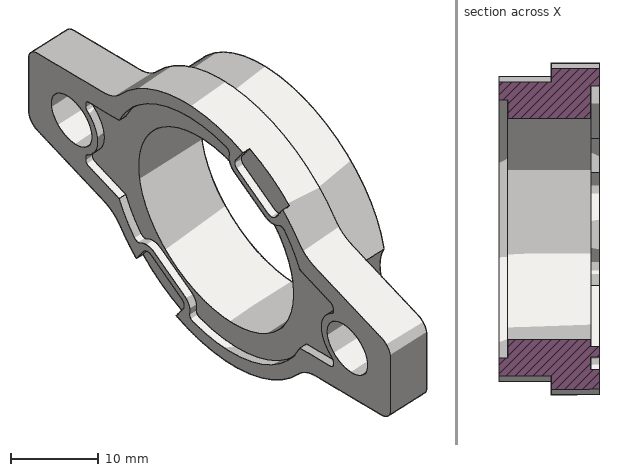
import cadquery as cq
import math

length = 63.0
height = 38.0
flange_radius = height / 2
flange_thickness = 5.55
boss_radius = 17.5
boss_height = 6.0
bore_radius = 13.5
counterbore_radius = 15.5
counterbore_depth = 1.0
total_depth = flange_thickness + boss_height

lug_end_half_height = 6.05
lug_taper = math.radians(12.6)
lug_corner_radius = 2.0
neck_radius = 5.0
bolt_offset = 24.0
bolt_hole_radius = 3.5
bolt_head_clearance_radius = 7.5

recess_depth = 1.0
recess_radius = 17.0
recess_end = 21.55
lug_rim = 3.0
bolt_rim_radius = 4.55
recess_corner_radius = 0.7

notch_tilt = 30.0
notch_width = 8.0
notch_floor = 15.0
notch_depth = 1.0
notch_corner_radius = 1.0
notch_wall = 1.0
notch_shoulder_radius = 0.75


def extrude_back(sketch, depth, start=0.0):
    """Extrude an XZ sketch toward +Y from y = start."""
    return cq.Workplane("XZ", origin=(0, start, 0)).placeSketch(sketch).extrude(-depth)


def disc(radius, depth, start=0.0, x=0.0):
    return extrude_back(cq.Sketch().push([(x, 0)]).circle(radius), depth, start)


def lug_band(half_length, inset, depth):
    """Six-sided bar, tallest at x = 0, tapering to both ends."""
    middle = lug_end_half_height + length / 2 * math.tan(lug_taper) - inset / math.cos(lug_taper)
    end = middle - half_length * math.tan(lug_taper)
    points = [
        (-half_length, -end), (0, -middle), (half_length, -end),
        (half_length, end), (0, middle), (-half_length, end),
    ]
    return cq.Workplane("XZ").polyline(points).close().extrude(-depth)


def notch_block(width, floor, corner_radius, depth):
    """Round-cornered block reaching from the notch floor past the rim, at both notches."""
    block_height = flange_radius
    block = (
        cq.Workplane("XY")
        .box(width, depth, block_height, centered=(True, False, False))
        .translate((0, 0, floor))
        .edges("|Y and <Z")
        .fillet(corner_radius)
        .rotate((0, 0, 0), (0, 1, 0), notch_tilt)
    )
    return block.union(block.rotate((0, 0, 0), (0, 1, 0), 180))


def edges_at_radius(body, radius):
    """Corner edges parallel to Y at the given distance from the bore axis."""
    tolerance = 0.005
    return body.edges("|Y").filter(
        lambda edge: abs(math.hypot(edge.Center().x, edge.Center().z) - radius) < tolerance
    )


def make_flange():
    lugs = lug_band(length / 2, 0, flange_thickness)
    lugs = lugs.edges("|Y and (<X or >X)").fillet(lug_corner_radius)
    flange = disc(flange_radius, flange_thickness).union(lugs)
    return edges_at_radius(flange, flange_radius).fillet(neck_radius)


def make_boss():
    boss = disc(boss_radius, boss_height, flange_thickness)
    for x in (-bolt_offset, bolt_offset):
        boss = boss.cut(disc(bolt_head_clearance_radius, boss_height, flange_thickness, x))
    return boss


def make_recess():
    recess = disc(recess_radius, recess_depth)
    keep_out = notch_block(
        notch_width + 2 * notch_wall,
        notch_floor - notch_wall,
        notch_corner_radius + notch_wall,
        recess_depth,
    )
    recess = recess.cut(keep_out)
    recess = edges_at_radius(recess, recess_radius).fillet(notch_shoulder_radius)

    lugs = lug_band(recess_end, lug_rim, recess_depth)
    for x in (-bolt_offset, bolt_offset):
        lugs = lugs.cut(disc(bolt_rim_radius, recess_depth, 0, x))
    lugs = lugs.edges("|Y and (<X or >X)").fillet(recess_corner_radius)
    return recess.union(lugs)


result = make_flange().union(make_boss()).cut(make_recess())
result = result.cut(notch_block(notch_width, notch_floor, notch_corner_radius, notch_depth))
result = result.cut(disc(bore_radius, total_depth))
result = result.cut(disc(counterbore_radius, counterbore_depth, total_depth - counterbore_depth))
for bolt_x in (-bolt_offset, bolt_offset):
    result = result.cut(disc(bolt_hole_radius, flange_thickness, 0, bolt_x))